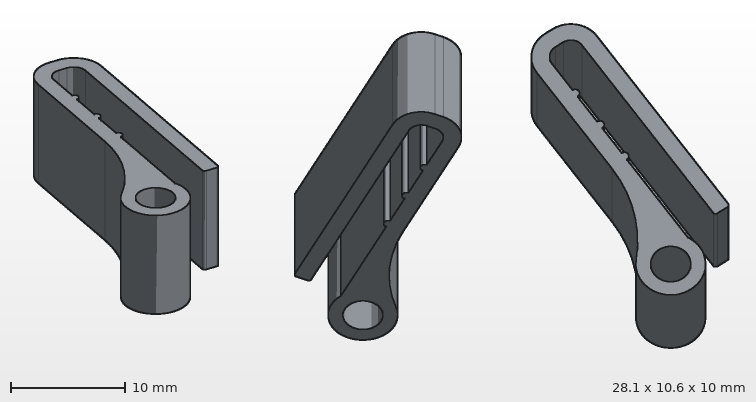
import cadquery as cq
import math

length = 28.05
depth = 10.6
height = 10.0

wall = 1.6
clip_depth = 6.4
inner_radius = 1.18
tip_x = 23.2
tip_fillet = 0.25

eye_radius = 3.05
hole_diameter = 3.5

ridge_radius = 0.4
first_ridge_x = 6.35
ridge_spacing = 3.79
ridge_count = 3

flare_x = 14.3

outer_radius = inner_radius + wall
clip_bottom = depth - clip_depth
slot_bottom = clip_bottom + wall
slot_top = depth - wall
eye_x = length - eye_radius
eye_y = eye_radius


def make_clip():
    """U-shaped strip with rounded bends and a softened upper tip."""
    outer = (
        cq.Workplane("XY")
        .moveTo(0, clip_bottom)
        .lineTo(flare_x, clip_bottom)
        .lineTo(flare_x, slot_bottom)
        .lineTo(wall, slot_bottom)
        .lineTo(wall, slot_top)
        .lineTo(tip_x, slot_top)
        .lineTo(tip_x, depth)
        .lineTo(0, depth)
        .close()
        .extrude(height)
    )
    bends = outer.edges("|Z and <X").fillet(outer_radius)
    margin = wall / 2
    inner_corners = cq.selectors.BoxSelector(
        (wall - margin, slot_bottom - margin, -margin),
        (wall + margin, slot_top + margin, height + margin),
    )
    bends = bends.edges("|Z").edges(inner_corners).fillet(inner_radius)
    return bends.edges("|Z and >X").fillet(tip_fillet)


def make_flare():
    """Widening web whose lower arc is tangent to the flat arm and to the eye."""
    across = eye_x - flare_x
    drop = clip_bottom - eye_y
    radius = (across**2 + drop**2 - eye_radius**2) / (2 * (eye_radius + drop))
    center_y = clip_bottom - radius
    sweep = math.atan2(across, eye_y - center_y)

    def arc_point(angle):
        return (flare_x + radius * math.sin(angle), center_y + radius * math.cos(angle))

    eye_top_x = eye_x - math.sqrt(eye_radius**2 - (slot_bottom - eye_y) ** 2)
    return (
        cq.Workplane("XY")
        .moveTo(flare_x, clip_bottom)
        .threePointArc(arc_point(sweep / 2), arc_point(sweep))
        .lineTo(eye_x, eye_y)
        .lineTo(eye_top_x, slot_bottom)
        .lineTo(flare_x, slot_bottom)
        .close()
        .extrude(height)
    )


def make_cylinder(x, y, radius):
    """Full-height cylinder standing at (x, y)."""
    return cq.Workplane("XY").center(x, y).circle(radius).extrude(height)


result = make_clip().union(make_flare())
result = result.union(make_cylinder(eye_x, eye_y, eye_radius))
for index in range(ridge_count):
    ridge_x = first_ridge_x + index * ridge_spacing
    result = result.union(make_cylinder(ridge_x, slot_bottom, ridge_radius))
result = result.cut(make_cylinder(eye_x, eye_y, hole_diameter / 2))
result = result.clean()